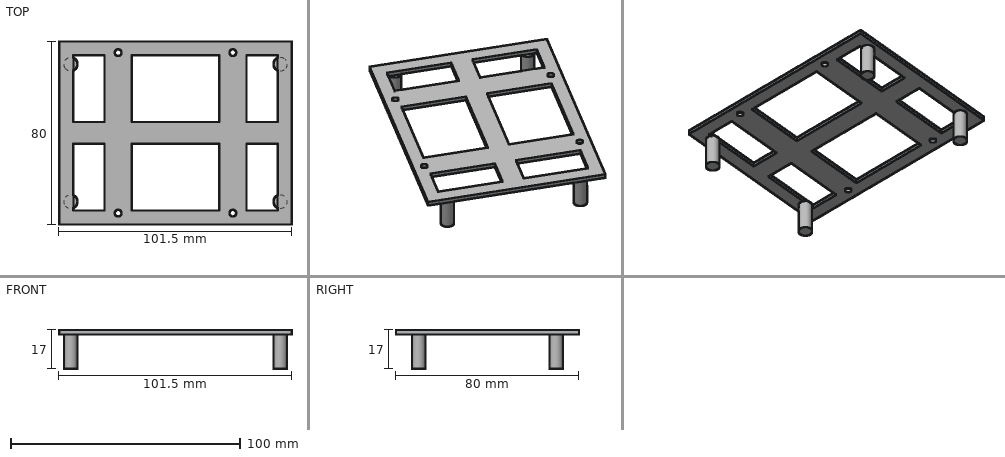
import cadquery as cq

length = 101.5
width = 80.0
total_height = 17.0
plate_thickness = 2.0

frame_width = 6.2
middle_rib_width = 9.5
side_window_length = 13.5
center_window_length = 38.2
window_width = (width - middle_rib_width) / 2 - frame_width
side_window_x = length / 2 - frame_width - side_window_length / 2
window_y = (middle_rib_width + window_width) / 2

hole_diameter = 2.8
hole_spacing_x = 50.0
hole_spacing_y = 70.0

post_diameter = 6.0
post_height = total_height - plate_thickness
post_spacing_x = 91.5
post_spacing_y = 60.0


def make_plate():
    """Flat plate standing on the post tops, with the posts' feet at Z = 0."""
    return (
        cq.Workplane("XY")
        .workplane(offset=post_height)
        .rect(length, width)
        .extrude(plate_thickness)
    )


def make_windows():
    """Cutters for two rows of three rectangular windows."""
    columns = [
        (-side_window_x, side_window_length),
        (0, center_window_length),
        (side_window_x, side_window_length),
    ]
    cutters = cq.Workplane("XY")
    for x, window_length in columns:
        cutters = cutters.union(
            cq.Workplane("XY")
            .pushPoints([(x, -window_y), (x, window_y)])
            .rect(window_length, window_width)
            .extrude(total_height)
        )
    return cutters


def make_corner_cylinders(spacing_x, spacing_y, diameter, height):
    """Four upright cylinders at the corners of a centred rectangle."""
    return (
        cq.Workplane("XY")
        .rect(spacing_x, spacing_y, forConstruction=True)
        .vertices()
        .circle(diameter / 2)
        .extrude(height)
    )


holes = make_corner_cylinders(hole_spacing_x, hole_spacing_y, hole_diameter, total_height)
posts = make_corner_cylinders(post_spacing_x, post_spacing_y, post_diameter, post_height)

result = make_plate().cut(make_windows()).cut(holes).union(posts)